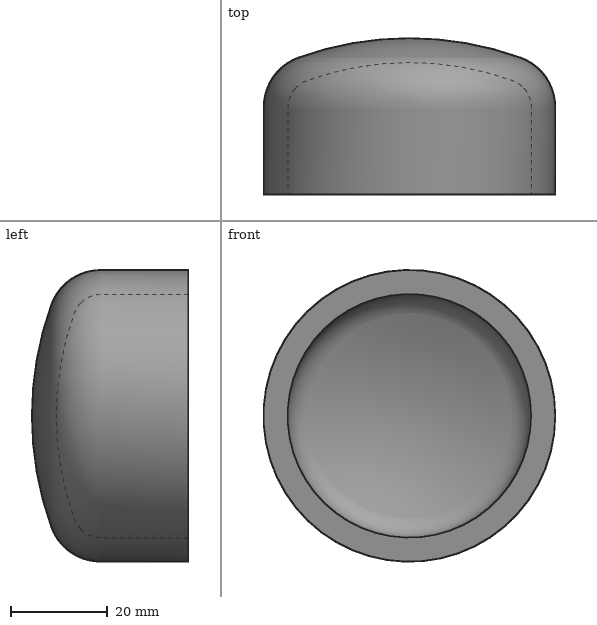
import cadquery as cq
import math

outer_diameter = 60.3
bore_diameter = 50.3
skirt_length = 18.0
overall_length = 32.3
knuckle_radius = 10.9

outer_radius = outer_diameter / 2
wall = (outer_diameter - bore_diameter) / 2
dome_height = overall_length - skirt_length
knuckle_offset = outer_radius - knuckle_radius

crown_radius = (knuckle_offset**2 + dome_height**2 - knuckle_radius**2) / (2 * (dome_height - knuckle_radius))
crown_center = overall_length - crown_radius
tangent_angle = math.atan2(knuckle_offset, skirt_length - crown_center)


def point_on_arc(center_radius, center_y, radius, angle):
    """Point at an angle measured from the part axis (Y)."""
    return (center_radius + radius * math.sin(angle), center_y + radius * math.cos(angle))


def capped_body(inset):
    """Solid cylinder with a domed end, its surface set in from the outside of the cap."""
    crown = crown_radius - inset
    knuckle = knuckle_radius - inset
    knuckle_middle = (tangent_angle + math.pi / 2) / 2
    return (
        cq.Workplane("XY")
        .lineTo(outer_radius - inset, 0)
        .lineTo(outer_radius - inset, skirt_length)
        .threePointArc(
            point_on_arc(knuckle_offset, skirt_length, knuckle, knuckle_middle),
            point_on_arc(knuckle_offset, skirt_length, knuckle, tangent_angle),
        )
        .threePointArc(
            point_on_arc(0, crown_center, crown, tangent_angle / 2),
            (0, overall_length - inset),
        )
        .close()
        .revolve(360, (0, 0, 0), (0, 1, 0))
    )


result = capped_body(0).cut(capped_body(wall))